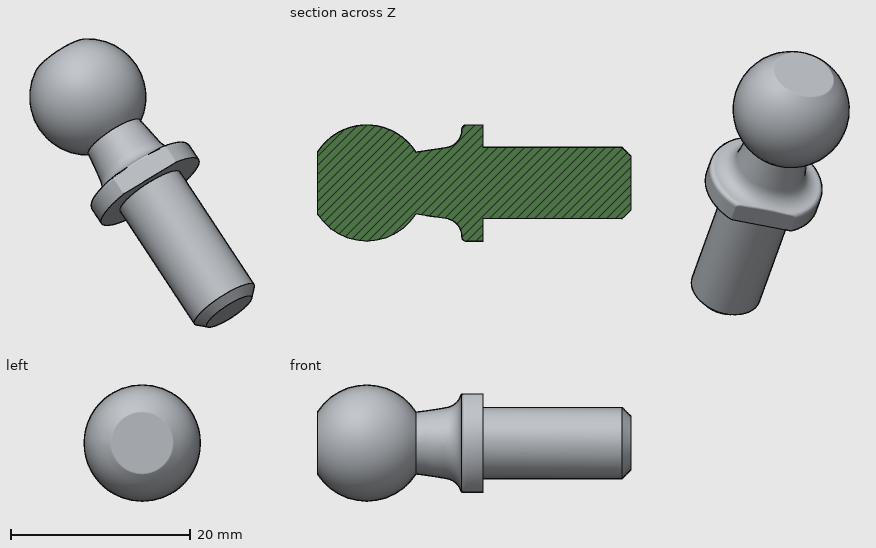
import cadquery as cq
import math


ball_radius = 6.5
ball_end_offset = 5.5
ball_flat_radius = math.sqrt(ball_radius**2 - ball_end_offset**2)
ball_edge_radius = 0.2

collar_radius = 6.5
collar_thickness = 2.4
collar_edge_radius = 0.5
collar_across_flats = 11.0
flat_edge_radius = 0.2

shank_radius = 4.0
shank_length = 16.5
shank_chamfer = 1.0

neck_length = 5.1
neck_half_angle = math.radians(8.5)
neck_fillet_radius = 2.0

neck_start_x = ball_end_offset
collar_front_x = neck_start_x + neck_length
collar_back_x = collar_front_x + collar_thickness
shank_end_x = collar_back_x + shank_length

fillet_center_x = collar_front_x - neck_fillet_radius
fillet_center_r = (
    ball_flat_radius
    + (fillet_center_x - neck_start_x) * math.tan(neck_half_angle)
    + neck_fillet_radius / math.cos(neck_half_angle)
)


def fillet_point(angle):
    """Point (x, r) on the neck fillet; the angle turns from the +X direction towards the axis."""
    return (
        fillet_center_x + neck_fillet_radius * math.cos(angle),
        fillet_center_r - neck_fillet_radius * math.sin(angle),
    )


def make_turned_body():
    """Revolve the half outline of ball, neck, collar and shank about the X axis."""
    cone_tangent_angle = math.pi / 2 - neck_half_angle
    edge_inset = collar_edge_radius * (1 - math.sqrt(0.5))
    outline = (
        cq.Workplane("XY")
        .moveTo(-ball_end_offset, 0)
        .lineTo(-ball_end_offset, ball_flat_radius)
        .threePointArc((0, ball_radius), (neck_start_x, ball_flat_radius))
        .lineTo(*fillet_point(cone_tangent_angle))
        .threePointArc(fillet_point(cone_tangent_angle / 2), fillet_point(0))
        .lineTo(collar_front_x, collar_radius - collar_edge_radius)
        .threePointArc(
            (collar_front_x + edge_inset, collar_radius - edge_inset),
            (collar_front_x + collar_edge_radius, collar_radius),
        )
        .lineTo(collar_back_x, collar_radius)
        .lineTo(collar_back_x, shank_radius)
        .lineTo(shank_end_x - shank_chamfer, shank_radius)
        .lineTo(shank_end_x, shank_radius - shank_chamfer)
        .lineTo(shank_end_x, 0)
        .close()
    )
    return outline.revolve(360, (0, 0, 0), (1, 0, 0))


def cut_wrench_flats(body):
    """Cut two opposite flats, facing +Z and -Z, across the collar and the rim of the neck fillet."""
    flat_z = collar_across_flats / 2
    for side in (1, -1):
        cutter = cq.Workplane("XY").box(
            collar_back_x - fillet_center_x,
            2 * collar_radius,
            collar_radius,
            centered=(False, True, True),
        )
        cutter_z = side * (flat_z + collar_radius / 2)
        body = body.cut(cutter.translate((fillet_center_x, 0, cutter_z)))
    return body


def round_flat_edges(body):
    """Round every edge of the flats except those shared with the back of the collar."""
    return body.faces("|Z").edges("not >X").fillet(flat_edge_radius)


def round_ball_end(body):
    """Round the rim of the ball's flat end."""
    return body.faces("<X").edges().fillet(ball_edge_radius)


turned_body = round_ball_end(make_turned_body())
result = round_flat_edges(cut_wrench_flats(turned_body))